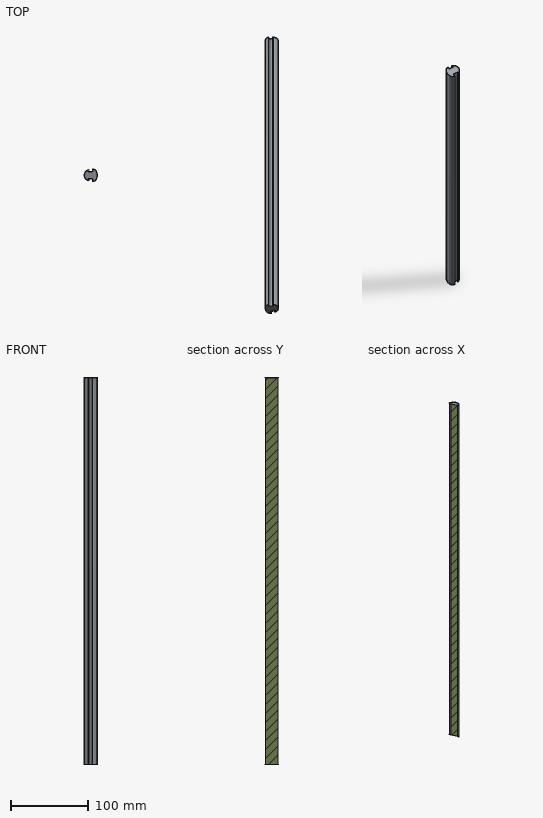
import cadquery as cq
import math

length = 500.0
half_width = 8.5
head_half_depth = 8.2

nose_radius = 7.2
lip_start_x = -2.65
lip_thickness = 0.6

end_radius = 12.0
corner_radius = 6.2

head_wall_x = 2.45
undercut_wall_x = -3.5
floor_y = 4.8
floor_fillet = 1.2


def polar(center, radius, angle):
    """Point on a circle at an angle in radians."""
    return (center[0] + radius * math.cos(angle), center[1] + radius * math.sin(angle))


def mirrored(point):
    """The same point on the -Y side of the profile."""
    return (point[0], -point[1])


def tangent_corner_center(end_center, head_tip):
    """Center of the arc that starts at the head tip and blends into the end arc."""
    blend_distance = end_radius - corner_radius
    span = math.dist(end_center, head_tip)
    tip_direction = math.atan2(head_tip[1] - end_center[1], head_tip[0] - end_center[0])
    cosine = (blend_distance**2 + span**2 - corner_radius**2) / (2 * blend_distance * span)
    return polar(end_center, blend_distance, tip_direction - math.acos(cosine))


def half_outline():
    """Segments from the nose apex to the end arc on +Y: (end point, point on the arc or None)."""
    nose_center = (nose_radius - half_width, 0)
    lip_angle = math.acos((lip_start_x - nose_center[0]) / nose_radius)
    nose_mid = polar(nose_center, nose_radius, (math.pi + lip_angle) / 2)
    lip_outer = polar(nose_center, nose_radius, lip_angle)
    lip_inner = polar(nose_center, nose_radius - lip_thickness, lip_angle)
    lip_center = polar(nose_center, nose_radius - lip_thickness / 2, lip_angle)
    lip_tip = polar(lip_center, lip_thickness / 2, lip_angle - math.pi / 2)

    fillet_center = (head_wall_x - floor_fillet, floor_y + floor_fillet)
    fillet_mid = polar(fillet_center, floor_fillet, -math.pi / 4)

    head_tip = (head_wall_x, head_half_depth)
    end_center = (half_width - end_radius, 0)
    corner_center = tangent_corner_center(end_center, head_tip)
    blend_angle = math.atan2(corner_center[1], corner_center[0] - end_center[0])
    tip_angle = math.atan2(head_tip[1] - corner_center[1], head_tip[0] - corner_center[0])
    corner_mid = polar(corner_center, corner_radius, (tip_angle + blend_angle) / 2)
    blend_point = polar(end_center, end_radius, blend_angle)

    return [
        (lip_outer, nose_mid),
        (lip_inner, lip_tip),
        ((undercut_wall_x, lip_inner[1]), None),
        ((undercut_wall_x, floor_y), None),
        ((fillet_center[0], floor_y), None),
        ((head_wall_x, fillet_center[1]), fillet_mid),
        (head_tip, None),
        (blend_point, corner_mid),
    ]


def add_segment(outline, end, arc_point):
    """Continue the outline with an arc through arc_point, or with a straight line."""
    if arc_point is None:
        return outline.lineTo(*end)
    return outline.threePointArc(arc_point, end)


def make_profile():
    nose_apex = (-half_width, 0)
    segments = half_outline()
    outline = cq.Workplane("XY").moveTo(*nose_apex)
    for end, arc_point in segments:
        outline = add_segment(outline, end, arc_point)

    blend_point = segments[-1][0]
    outline = outline.threePointArc((half_width, 0), mirrored(blend_point))

    starts = [nose_apex] + [end for end, _ in segments[:-1]]
    for start, (_, arc_point) in zip(reversed(starts), reversed(segments)):
        mirrored_arc_point = mirrored(arc_point) if arc_point else None
        outline = add_segment(outline, mirrored(start), mirrored_arc_point)
    return outline.close()


result = make_profile().extrude(length, clean=False)